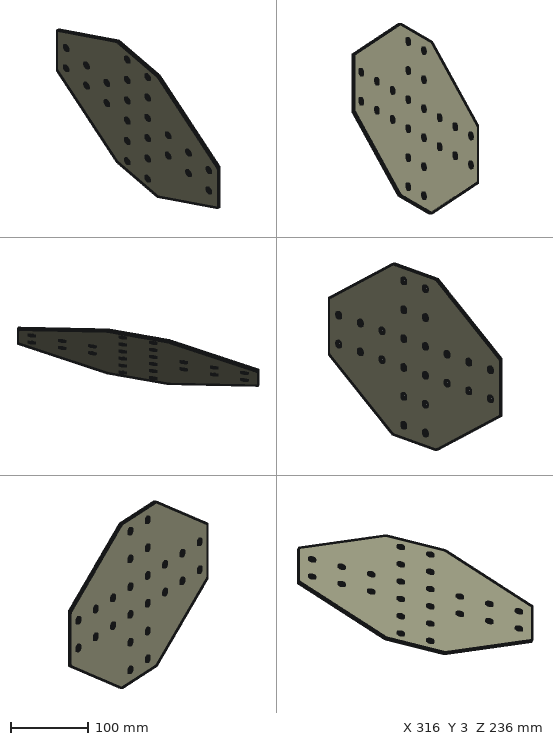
import cadquery as cq

length = 316.0
height = 236.0
thickness = 3.0
top_flat = 80.0
side_flat = 77.7
corner_radius = 3.0

hole_diameter = 8.5
edge_margin = 18.0
row_count = 2
long_count = 8
pitch = (length - 2 * edge_margin) / (long_count - 1)
short_count = 6


def octagon_plate():
    """Flat octagon in XZ, centred on the origin, with rounded corners."""
    x_side, z_top = length / 2, height / 2
    x_flat, z_flat = top_flat / 2, side_flat / 2
    outline = [
        (x_flat, z_top),
        (x_side, z_flat),
        (x_side, -z_flat),
        (x_flat, -z_top),
        (-x_flat, -z_top),
        (-x_side, -z_flat),
        (-x_side, z_flat),
        (-x_flat, z_top),
    ]
    plate = cq.Workplane("XZ").polyline(outline).close().extrude(thickness / 2, both=True)
    return plate.edges("|Y").fillet(corner_radius)


def hole_grid(columns, rows):
    """Cutting cylinders on a centred grid, longer than the plate is thick."""
    return (
        cq.Workplane("XZ")
        .rarray(pitch, pitch, columns, rows)
        .circle(hole_diameter / 2)
        .extrude(thickness, both=True)
    )


result = (
    octagon_plate()
    .cut(hole_grid(long_count, row_count))
    .cut(hole_grid(row_count, short_count))
)